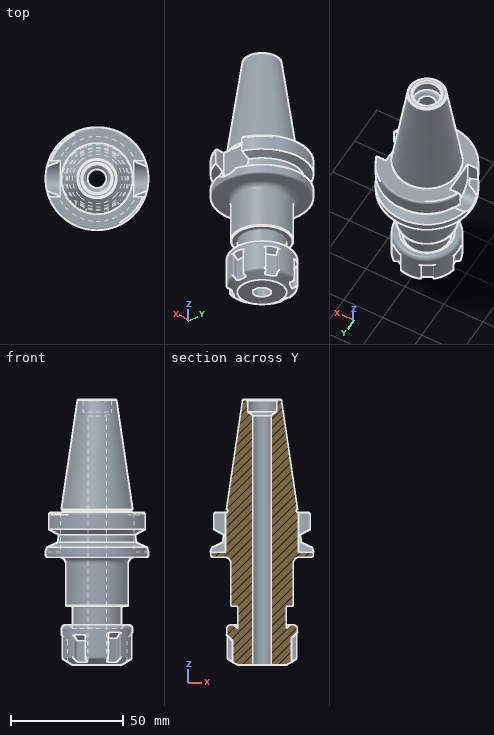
import cadquery as cq
import math


taper_top_z = 48.4
gauge_radius = 15.875
taper_ratio = 7 / 24
taper_edge_chamfer = 0.5
gauge_band_bottom_z = -0.5
relief_radius = 15.4
relief_root_fillet = 0.7

flange_radius = 23.0
flange_top_z = -2.0
flange_bottom_z = -22.0
flange_edge_fillet = 1.0
groove_radius = 19.0
groove_center_z = -13.6
groove_floor_width = 3.4
groove_wall_angle = 30

key_floor_x = 16.3
key_width = 16.1
key_round_center_z = -11.5

body_radius = 14.0
body_bottom_z = -43.8
body_edge_chamfer = 0.4
body_root_fillet = 2.8
neck_radius = 11.0
neck_root_fillet = 0.5

nut_radius = 15.9
nut_top_z = -52.0
nut_bottom_z = -70.0
nut_top_fillet = 2.0
nut_face_radius = 11.0
nut_cone_angle = 30
nut_cone_height = (nut_radius - nut_face_radius) * math.tan(math.radians(nut_cone_angle))
nut_cone_fillet = 1.5
nut_countersink = 1.5

slot_count = 6
slot_floor_radius = 13.2
slot_half_width = 2.7
slot_root_fillet = 0.5
slot_mouth_fillet = 0.8
short_slot_top_z = -56.4
long_slot_top_z = -55.3

through_radius = 4.1
step_radius = 5.2
step_z = 42.2
counterbore_radius = 6.35
counterbore_bottom_z = 42.8
counterbore_edge_chamfer = 0.7

arc_inset = 1 - math.sqrt(0.5)


def make_shank():
    taper_top_radius = gauge_radius - taper_top_z * taper_ratio / 2
    groove_half_floor = groove_floor_width / 2
    groove_wall_rise = (flange_radius - groove_radius) * math.tan(math.radians(groove_wall_angle))
    groove_half_mouth = groove_half_floor + groove_wall_rise
    edge_inset = flange_edge_fillet * arc_inset
    relief_inset = relief_root_fillet * arc_inset
    root_inset = body_root_fillet * arc_inset
    neck_inset = neck_root_fillet * arc_inset
    return (
        cq.Workplane("XZ")
        .moveTo(0, taper_top_z)
        .lineTo(taper_top_radius - taper_edge_chamfer, taper_top_z)
        .lineTo(taper_top_radius, taper_top_z - taper_edge_chamfer)
        .lineTo(gauge_radius, 0)
        .lineTo(gauge_radius, gauge_band_bottom_z)
        .lineTo(relief_radius, flange_top_z + relief_root_fillet)
        .threePointArc(
            (relief_radius + relief_inset, flange_top_z + relief_inset),
            (relief_radius + relief_root_fillet, flange_top_z),
        )
        .lineTo(flange_radius - flange_edge_fillet, flange_top_z)
        .threePointArc(
            (flange_radius - edge_inset, flange_top_z - edge_inset),
            (flange_radius, flange_top_z - flange_edge_fillet),
        )
        .lineTo(flange_radius, groove_center_z + groove_half_mouth)
        .lineTo(groove_radius, groove_center_z + groove_half_floor)
        .lineTo(groove_radius, groove_center_z - groove_half_floor)
        .lineTo(flange_radius, groove_center_z - groove_half_mouth)
        .lineTo(flange_radius, flange_bottom_z + flange_edge_fillet)
        .threePointArc(
            (flange_radius - edge_inset, flange_bottom_z + edge_inset),
            (flange_radius - flange_edge_fillet, flange_bottom_z),
        )
        .lineTo(body_radius + body_root_fillet, flange_bottom_z)
        .threePointArc(
            (body_radius + root_inset, flange_bottom_z - root_inset),
            (body_radius, flange_bottom_z - body_root_fillet),
        )
        .lineTo(body_radius, body_bottom_z + body_edge_chamfer)
        .lineTo(body_radius - body_edge_chamfer, body_bottom_z)
        .lineTo(neck_radius + neck_root_fillet, body_bottom_z)
        .threePointArc(
            (neck_radius + neck_inset, body_bottom_z - neck_inset),
            (neck_radius, body_bottom_z - neck_root_fillet),
        )
        .lineTo(neck_radius, nut_top_z)
        .lineTo(0, nut_top_z)
        .close()
        .revolve(360, (0, 0), (0, 1))
    )


def make_key_slot(side):
    """Slot with a rounded lower end, open at the flange top and rim; side is +1 or -1."""
    half_width = key_width / 2
    return (
        cq.Workplane("YZ", origin=(side * key_floor_x, 0, 0))
        .moveTo(-half_width, 0)
        .lineTo(-half_width, key_round_center_z)
        .threePointArc((0, key_round_center_z - half_width), (half_width, key_round_center_z))
        .lineTo(half_width, 0)
        .close()
        .extrude(side * flange_radius)
    )


def make_nut():
    cone_top_z = nut_bottom_z + nut_cone_height
    edge_margin = 0.1
    nut = (
        cq.Workplane("XZ")
        .moveTo(0, nut_bottom_z)
        .lineTo(nut_face_radius, nut_bottom_z)
        .lineTo(nut_radius, cone_top_z)
        .lineTo(nut_radius, nut_top_z)
        .lineTo(0, nut_top_z)
        .close()
        .revolve(360, (0, 0), (0, 1))
    )
    cone_edge = cq.selectors.BoxSelector(
        (-nut_radius, -nut_radius, cone_top_z - edge_margin),
        (nut_radius, nut_radius, cone_top_z + edge_margin),
    )
    nut = nut.edges(">Z").fillet(nut_top_fillet)
    nut = nut.edges(cone_edge).edges("%CIRCLE").fillet(nut_cone_fillet)
    return nut.cut(make_nut_countersink())


def make_nut_countersink():
    """45 degree countersink in the nut's upper face around the neck."""
    return (
        cq.Workplane("XZ")
        .moveTo(neck_radius, nut_top_z)
        .lineTo(neck_radius + nut_countersink, nut_top_z)
        .lineTo(neck_radius, nut_top_z - nut_countersink)
        .close()
        .revolve(360, (0, 0), (0, 1))
    )


def make_wrench_slot(angle, top_z):
    """Slot with a 45 degree roof and rounded long edges, open at the nut rim and cone."""
    mouth_half_width = slot_half_width + slot_mouth_fillet
    mouth_radius = math.sqrt(nut_radius**2 - mouth_half_width**2)
    outer_radius = nut_radius + 1
    root_inset = slot_root_fillet * arc_inset
    mouth_inset = slot_mouth_fillet * arc_inset
    root_half_width = slot_half_width - slot_root_fillet
    channel = (
        cq.Workplane("XY", origin=(0, 0, nut_bottom_z))
        .moveTo(slot_floor_radius, -root_half_width)
        .lineTo(slot_floor_radius, root_half_width)
        .threePointArc(
            (slot_floor_radius + root_inset, slot_half_width - root_inset),
            (slot_floor_radius + slot_root_fillet, slot_half_width),
        )
        .lineTo(mouth_radius - slot_mouth_fillet, slot_half_width)
        .threePointArc(
            (mouth_radius - mouth_inset, slot_half_width + mouth_inset),
            (mouth_radius, mouth_half_width),
        )
        .lineTo(outer_radius, mouth_half_width)
        .lineTo(outer_radius, -mouth_half_width)
        .lineTo(mouth_radius, -mouth_half_width)
        .threePointArc(
            (mouth_radius - mouth_inset, -slot_half_width - mouth_inset),
            (mouth_radius - slot_mouth_fillet, -slot_half_width),
        )
        .lineTo(slot_floor_radius + slot_root_fillet, -slot_half_width)
        .threePointArc(
            (slot_floor_radius + root_inset, -slot_half_width + root_inset),
            (slot_floor_radius, -root_half_width),
        )
        .close()
        .extrude(nut_top_z - nut_bottom_z)
    )
    roof = (
        cq.Workplane("XZ")
        .moveTo(slot_floor_radius, nut_bottom_z)
        .lineTo(outer_radius, nut_bottom_z)
        .lineTo(outer_radius, top_z + outer_radius - nut_radius)
        .lineTo(slot_floor_radius, top_z - (nut_radius - slot_floor_radius))
        .close()
        .extrude(mouth_half_width, both=True)
    )
    return channel.intersect(roof).rotate((0, 0, 0), (0, 0, 1), angle)


def make_bore():
    """Through hole and counterbore, joined by two cones."""
    mouth_radius = counterbore_radius + counterbore_edge_chamfer
    through_top_z = step_z - (step_radius - through_radius)
    return (
        cq.Workplane("XZ")
        .moveTo(0, taper_top_z)
        .lineTo(mouth_radius, taper_top_z)
        .lineTo(counterbore_radius, taper_top_z - counterbore_edge_chamfer)
        .lineTo(counterbore_radius, counterbore_bottom_z)
        .lineTo(step_radius, step_z)
        .lineTo(through_radius, through_top_z)
        .lineTo(through_radius, nut_bottom_z)
        .lineTo(0, nut_bottom_z)
        .close()
        .revolve(360, (0, 0), (0, 1))
    )


result = make_shank().union(make_nut())

for side in (-1, 1):
    result = result.cut(make_key_slot(side))

for index in range(slot_count):
    slot_angle = index * 360 / slot_count
    on_plus_x_half = math.cos(math.radians(slot_angle)) > 0
    slot_top_z = long_slot_top_z if on_plus_x_half else short_slot_top_z
    result = result.cut(make_wrench_slot(slot_angle, slot_top_z))

result = result.cut(make_bore())